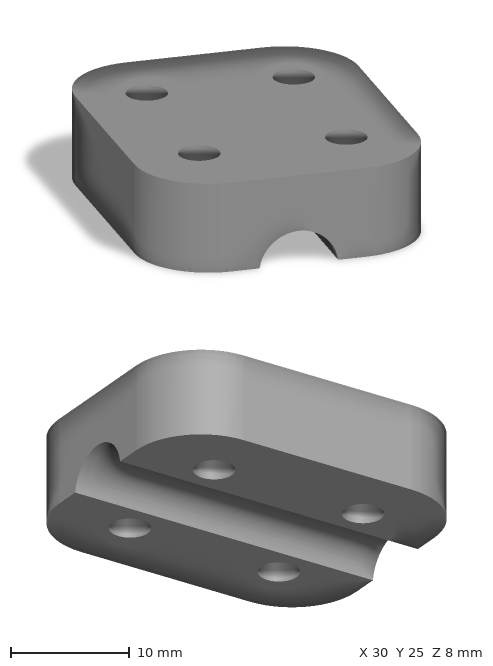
import cadquery as cq

length = 30.0
width = 25.0
height = 8.0
corner_radius = 6.5

hole_diameter = 3.6
hole_spacing_x = length / 2
hole_spacing_y = 13.0

groove_radius = 3.5
groove_depth = 3.0
groove_axis_z = groove_depth - groove_radius


def make_block():
    block = cq.Workplane("XY").box(length, width, height, centered=(True, True, False))
    return block.edges("|Z").fillet(corner_radius)


def make_holes():
    return (
        cq.Workplane("XY")
        .rarray(hole_spacing_x, hole_spacing_y, 2, 2)
        .circle(hole_diameter / 2)
        .extrude(height)
    )


def make_groove():
    return (
        cq.Workplane("YZ")
        .center(0, groove_axis_z)
        .circle(groove_radius)
        .extrude(length / 2, both=True)
    )


result = make_block().cut(make_holes()).cut(make_groove())